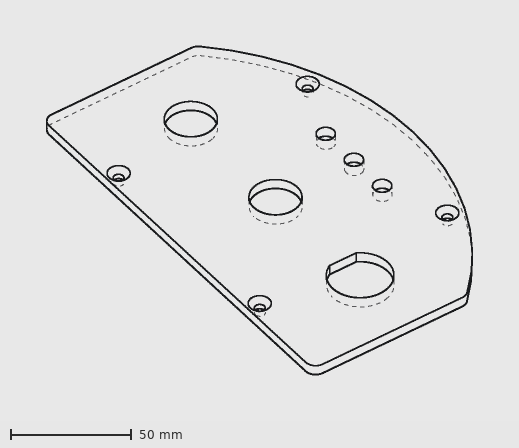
import cadquery as cq
import math

plate_width = 192.0
plate_height = 120.0
plate_thickness = 5.0
top_arc_radius = 131.0
corner_radius = 5.0

main_row_y = 50.0
main_spacing = 60.0
round_opening_diameter = 22.0
flatted_opening_diameter = 28.0
flat_distance = 12.25

small_hole_diameter = 8.0
small_hole_spacing = 20.0
small_row_y = 90.0

lower_screw_x = 50.0
lower_screw_y = 6.0
upper_screw_x = 49.5
upper_screw_y = 102.0
screw_hole_diameter = 4.5
countersink_diameter = 9.6
countersink_angle = 90.0


def make_plate():
    """Plate with straight sides, an arched top and rounded corners."""
    half_width = plate_width / 2
    arc_centre_y = plate_height - top_arc_radius
    shoulder_y = arc_centre_y + math.sqrt(top_arc_radius**2 - half_width**2)
    outline = (
        cq.Workplane("XY")
        .moveTo(-half_width, 0)
        .lineTo(half_width, 0)
        .lineTo(half_width, shoulder_y)
        .threePointArc((0, plate_height), (-half_width, shoulder_y))
        .close()
    )
    return outline.extrude(plate_thickness).edges("|Z").fillet(corner_radius)


def make_through_cutter(diameter, centres):
    """Cylinders running through the plate at each centre."""
    return cq.Workplane("XY").pushPoints(centres).circle(diameter / 2).extrude(plate_thickness)


def make_flatted_cutter():
    """Round opening on the +X side with a flat facing -X."""
    cutter = make_through_cutter(flatted_opening_diameter, [(main_spacing, main_row_y)])
    kept_side = (
        cq.Workplane("XY")
        .box(flatted_opening_diameter, flatted_opening_diameter, plate_thickness,
             centered=(False, True, False))
        .translate((main_spacing - flat_distance, main_row_y, 0))
    )
    return cutter.intersect(kept_side)


def cut_screw_holes(plate):
    """Four through holes countersunk from the top face."""
    right_centres = [(lower_screw_x, lower_screw_y), (upper_screw_x, upper_screw_y)]
    centres = [(side * x, y) for side in (-1, 1) for x, y in right_centres]
    return (
        plate.faces(">Z")
        .workplane(origin=(0, 0, plate_thickness))
        .pushPoints(centres)
        .cskHole(screw_hole_diameter, countersink_diameter, countersink_angle)
    )


round_opening_centres = [(-main_spacing, main_row_y), (0, main_row_y)]
small_hole_centres = [(step * small_hole_spacing, small_row_y) for step in (-1, 0, 1)]

result = make_plate()
result = result.cut(make_through_cutter(round_opening_diameter, round_opening_centres))
result = result.cut(make_through_cutter(small_hole_diameter, small_hole_centres))
result = result.cut(make_flatted_cutter())
result = cut_screw_holes(result)